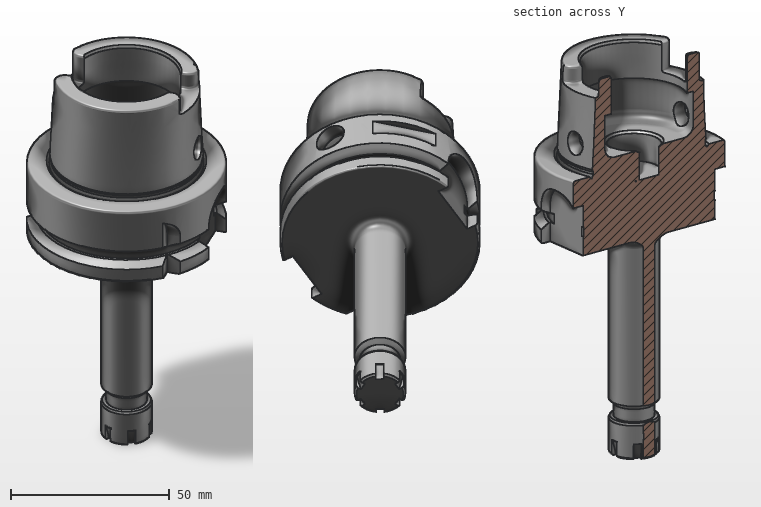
import cadquery as cq
import math


total_height = 132.0
taper_length = 32.0
flange_thickness = 26.0
face_z = total_height - taper_length
flange_bottom_z = face_z - flange_thickness

taper_top_radius = 22.8
taper_slope = 0.045
taper_end_z = face_z + 2.1
taper_end_radius = taper_top_radius + taper_slope * (total_height - taper_end_z)
relief_radius = 23.9
relief_top_z = taper_end_z - 0.8
relief_bottom_z = face_z + 0.5
face_recess_radius = 25.2
face_recess_depth = 0.8
face_recess_floor_radius = 24.4
rim_fillet = 1.0

flange_diameter = 63.0
flange_radius = flange_diameter / 2
flange_bottom_fillet = 0.7
groove_floor_radius = 27.5
groove_z = face_z - 18.0
groove_half_width = 3.3
groove_half_floor = 1.6
groove_flank_angle = 60
groove_flank_radius = flange_radius - (groove_half_width - groove_half_floor) * math.tan(
    math.radians(groove_flank_angle)
)

shank_radius = 8.0
shank_fillet = 3.0
shank_end_z = 18.1
neck_radius = 6.5
nut_height = 12.3
nut_top_bevel_width = 0.4
nut_top_bevel_height = 0.8
nut_bottom_bevel = 0.7
nut_slot_count = 6
nut_slot_width = 2.5
nut_slot_height = 5.3
nut_slot_top_radius = 7.7
nut_slot_bottom_radius = 6.2

bore_radius = 17.0
bore_bevel_width = 0.5
bore_bevel_depth = 0.9
lip_depth = 13.0
chamber_radius = 19.3
chamber_depth = 27.6
chamber_fillet = 3.4
coolant_hole_radius = 8.6
coolant_hole_bevel = 0.8
coolant_hole_depth = 10.0

notch_half_width = 6.1
notch_shallow_depth = 6.0
notch_deep_depth = 10.0
notch_end_x = 20.7
notch_end_radius = 3.3
notch_floor_fillet = 1.0

radial_hole_radius = 3.8
radial_hole_z = total_height - 23.0

rim_slot_top_z = face_z - 5.1
drive_slot_width = 18.0
drive_slot_floor_x = 26.5
drive_slot_corner_radius = 8.6
corner_notch_offset = 19.9
corner_notch_radius = 7.0
pocket_z = face_z - 6.9
pocket_height = 6.0
pocket_depth = 1.7
pocket_angle = 135
chip_hole_radius = 5.0
chip_hole_depth = 4.5


def make_body():
    """Solid of revolution: taper, flange, shank and nut, without any cuts."""
    neck_cone_height = shank_radius - neck_radius
    profile = (
        cq.Workplane("XZ")
        .moveTo(0, 0)
        .lineTo(shank_radius - nut_bottom_bevel, 0)
        .lineTo(shank_radius, nut_bottom_bevel)
        .lineTo(shank_radius, nut_height - nut_top_bevel_height)
        .lineTo(shank_radius - nut_top_bevel_width, nut_height)
        .lineTo(neck_radius, nut_height)
        .lineTo(neck_radius, shank_end_z - neck_cone_height)
        .lineTo(shank_radius, shank_end_z)
        .lineTo(shank_radius, flange_bottom_z - shank_fillet)
        .radiusArc((shank_radius + shank_fillet, flange_bottom_z), shank_fillet)
        .lineTo(flange_radius - flange_bottom_fillet, flange_bottom_z)
        .radiusArc((flange_radius, flange_bottom_z + flange_bottom_fillet), -flange_bottom_fillet)
        .lineTo(flange_radius, groove_z - groove_half_width)
        .lineTo(groove_flank_radius, groove_z - groove_half_floor)
        .lineTo(groove_floor_radius, groove_z - groove_half_floor)
        .lineTo(groove_floor_radius, groove_z + groove_half_floor)
        .lineTo(groove_flank_radius, groove_z + groove_half_floor)
        .lineTo(flange_radius, groove_z + groove_half_width)
        .lineTo(flange_radius, face_z - rim_fillet)
        .radiusArc((flange_radius - rim_fillet, face_z), -rim_fillet)
        .lineTo(face_recess_radius, face_z)
        .lineTo(face_recess_floor_radius, face_z - face_recess_depth)
        .lineTo(relief_radius, relief_bottom_z)
        .lineTo(relief_radius, relief_top_z)
        .lineTo(taper_end_radius, taper_end_z)
        .lineTo(taper_top_radius, total_height)
        .lineTo(0, total_height)
        .close()
    )
    return profile.revolve(360, (0, 0), (0, 1))


def make_bore():
    """Clamping bore: bevelled entry, lip, undercut chamber and coolant hole."""
    floor_z = total_height - chamber_depth
    lip_z = total_height - lip_depth
    profile = (
        cq.Workplane("XZ")
        .moveTo(0, floor_z - coolant_hole_depth)
        .lineTo(coolant_hole_radius, floor_z - coolant_hole_depth)
        .lineTo(coolant_hole_radius, floor_z - coolant_hole_bevel)
        .lineTo(coolant_hole_radius + coolant_hole_bevel, floor_z)
        .lineTo(chamber_radius - chamber_fillet, floor_z)
        .radiusArc((chamber_radius, floor_z + chamber_fillet), -chamber_fillet)
        .lineTo(chamber_radius, lip_z)
        .lineTo(bore_radius, lip_z)
        .lineTo(bore_radius, total_height - bore_bevel_depth)
        .lineTo(bore_radius + bore_bevel_width, total_height)
        .lineTo(0, total_height)
        .close()
    )
    return profile.revolve(360, (0, 0), (0, 1))


def make_drive_notch(depth):
    """Notch on the +X side of the rim, flaring outward round both ring ends."""
    arc_start_x = notch_end_x - notch_end_radius
    flare_y = notch_half_width + notch_end_radius
    outer = flange_radius
    notch = (
        cq.Workplane("XY", origin=(0, 0, total_height - depth))
        .moveTo(0, -notch_half_width)
        .lineTo(arc_start_x, -notch_half_width)
        .radiusArc((notch_end_x, -flare_y), notch_end_radius)
        .lineTo(notch_end_x, -outer)
        .lineTo(outer, -outer)
        .lineTo(outer, outer)
        .lineTo(notch_end_x, outer)
        .lineTo(notch_end_x, flare_y)
        .radiusArc((arc_start_x, notch_half_width), notch_end_radius)
        .lineTo(0, notch_half_width)
        .close()
        .extrude(depth)
    )
    return notch.faces("<Z").edges().fillet(notch_floor_fillet)


def make_rim_slot(floor_x, y_min, y_max, corner_radius):
    """Slot milled along X into the flange rim, open downward, with rounded upper corners."""
    slot_height = rim_slot_top_z - flange_bottom_z
    return (
        cq.Workplane("XY")
        .box(flange_radius, y_max - y_min, slot_height, centered=False)
        .edges("|X and >Z")
        .fillet(corner_radius)
        .translate((floor_x, y_min, flange_bottom_z))
    )


def make_nut_slot(angle):
    """Wrench slot in the nut at the given angle round the axis, its floor sloping in toward Z = 0."""
    return (
        cq.Workplane("XZ", origin=(0, nut_slot_width / 2, 0))
        .moveTo(nut_slot_bottom_radius, 0)
        .lineTo(2 * shank_radius, 0)
        .lineTo(2 * shank_radius, nut_slot_height)
        .lineTo(nut_slot_top_radius, nut_slot_height)
        .close()
        .extrude(nut_slot_width)
        .rotate((0, 0, 0), (0, 0, 1), angle)
    )


def make_flat_pocket():
    """Shallow flat pocket cut across the rim, facing -X +Y."""
    return (
        cq.Workplane("XY")
        .box(flange_radius, 2 * flange_radius, pocket_height, centered=(False, True, True))
        .translate((flange_radius - pocket_depth, 0, pocket_z))
        .rotate((0, 0, 0), (0, 0, 1), pocket_angle)
    )


def make_chip_hole():
    """Blind round hole for a data chip on the +Y side of the rim."""
    mouth = cq.Workplane("XZ", origin=(0, flange_radius, pocket_z)).circle(chip_hole_radius)
    return mouth.extrude(chip_hole_depth)


def turn_half(shape):
    """The shape turned half a turn about the tool axis."""
    return shape.rotate((0, 0, 0), (0, 0, 1), 180)


def is_rim_edge(edge):
    """True for every edge of the end face except the arcs along the bore bevel."""
    on_bevel = edge.geomType() == "CIRCLE" and math.isclose(edge.radius(), bore_radius + bore_bevel_width)
    return not on_bevel


body = make_body().cut(make_bore())
body = body.cut(make_drive_notch(notch_shallow_depth))
body = body.cut(turn_half(make_drive_notch(notch_deep_depth)))
body = body.faces(">Z").edges().filter(is_rim_edge).fillet(rim_fillet)

radial_hole = (
    cq.Workplane("YZ", origin=(-flange_radius, 0, radial_hole_z))
    .circle(radial_hole_radius)
    .extrude(2 * flange_radius)
)
body = body.cut(radial_hole)

drive_slot = make_rim_slot(
    drive_slot_floor_x, -drive_slot_width / 2, drive_slot_width / 2, drive_slot_corner_radius
)
corner_notch = make_rim_slot(
    corner_notch_offset, -2 * flange_radius, -corner_notch_offset, corner_notch_radius
)
body = body.cut(drive_slot).cut(turn_half(drive_slot)).cut(corner_notch)
body = body.cut(make_flat_pocket()).cut(make_chip_hole())

for index in range(nut_slot_count):
    body = body.cut(make_nut_slot(index * 360 / nut_slot_count))

result = body